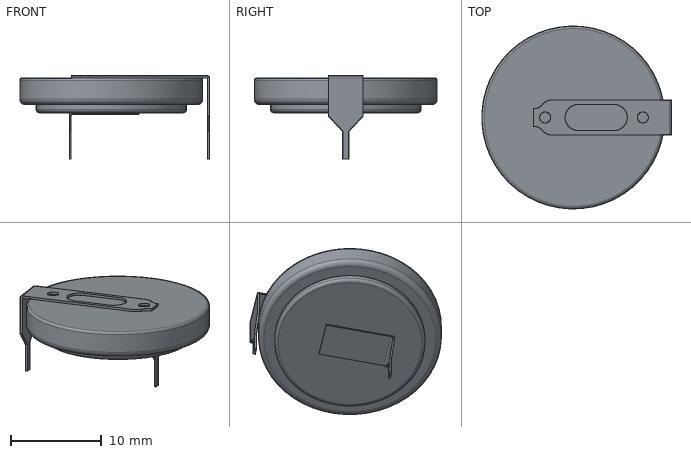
import cadquery as cq
import math

total_height = 9.17
can_diameter = 20.1
can_height = 2.92
can_top_fillet = 0.27
can_bottom_fillet = 0.6
cap_diameter = 16.5
cap_height = 0.9
cap_fillet = 0.35

tab_width = 3.83
pin_width = 0.7
taper_top = 4.75
taper_bottom = 3.08

upper_thickness = 0.25
upper_outer_x = 20.85 - can_diameter / 2
upper_end_x = -4.35
upper_end_width = 1.94
neck_length = 1.98
bend_radius = 0.25
weld_hole_diameter = 1.2
weld_hole_xs = (-3.08, 7.65)
window_length = 6.84
window_width = 2.85
window_x = 2.52

lower_thickness = 0.19
lower_outer_x = -4.6
lower_end_x = 3.06
lower_inner_fillet = 0.19

can_top = total_height - upper_thickness
can_bottom = can_top - can_height
cap_bottom = can_bottom - cap_height


def make_cell():
    can = cq.Workplane("XY").workplane(offset=can_bottom).circle(can_diameter / 2).extrude(can_height)
    can = can.faces(">Z").edges().fillet(can_top_fillet)
    can = can.faces("<Z").edges().fillet(can_bottom_fillet)
    cap = cq.Workplane("XY").workplane(offset=cap_bottom).circle(cap_diameter / 2).extrude(cap_height)
    cap = cap.faces("<Z").edges().fillet(cap_fillet)
    return can.union(cap)


def make_leg(outer_x, thickness, top):
    """Vertical leg tapering from the tab width to a pin; it extends along +X by the thickness."""
    half_tab = tab_width / 2
    half_pin = pin_width / 2
    outline = [
        (-half_tab, top),
        (-half_tab, taper_top),
        (-half_pin, taper_bottom),
        (-half_pin, 0),
        (half_pin, 0),
        (half_pin, taper_bottom),
        (half_tab, taper_top),
        (half_tab, top),
    ]
    return cq.Workplane("YZ").workplane(offset=outer_x).polyline(outline).close().extrude(thickness)


def make_upper_strap():
    """Flat strap whose free end narrows through two equal tangent arcs on each side."""
    half_tab = tab_width / 2
    half_end = upper_end_width / 2
    neck_x = upper_end_x + neck_length
    step = half_tab - half_end
    arc_angle = 2 * math.atan2(step, neck_length)
    arc_radius = neck_length / (2 * math.sin(arc_angle))
    middle = (upper_end_x + neck_length / 2, half_end + step / 2)
    along = arc_radius * math.sin(arc_angle / 2)
    rise = arc_radius * (1 - math.cos(arc_angle / 2))
    end_arc_point = (upper_end_x + along, half_end + rise)
    side_arc_point = (neck_x - along, half_tab - rise)

    def mirrored(point):
        return (point[0], -point[1])

    strap = (
        cq.Workplane("XY")
        .workplane(offset=can_top)
        .moveTo(upper_end_x, -half_end)
        .lineTo(upper_end_x, half_end)
        .threePointArc(end_arc_point, middle)
        .threePointArc(side_arc_point, (neck_x, half_tab))
        .lineTo(upper_outer_x, half_tab)
        .lineTo(upper_outer_x, -half_tab)
        .lineTo(neck_x, -half_tab)
        .threePointArc(mirrored(side_arc_point), mirrored(middle))
        .threePointArc(mirrored(end_arc_point), (upper_end_x, -half_end))
        .close()
        .extrude(upper_thickness)
    )
    weld_holes = (
        cq.Workplane("XY")
        .workplane(offset=can_top)
        .pushPoints([(x, 0) for x in weld_hole_xs])
        .circle(weld_hole_diameter / 2)
        .extrude(upper_thickness)
    )
    window = (
        cq.Workplane("XY")
        .workplane(offset=can_top)
        .center(window_x, 0)
        .slot2D(window_length, window_width)
        .extrude(upper_thickness)
    )
    return strap.cut(weld_holes).cut(window)


def make_upper_tab():
    leg = make_leg(upper_outer_x - upper_thickness, upper_thickness, total_height)
    tab = make_upper_strap().union(leg)
    return tab.edges("|Y").edges(">X and >Z").fillet(bend_radius)


def make_lower_tab():
    strap = (
        cq.Workplane("XY")
        .workplane(offset=cap_bottom - lower_thickness)
        .center((lower_outer_x + lower_end_x) / 2, 0)
        .rect(lower_end_x - lower_outer_x, tab_width)
        .extrude(lower_thickness)
    )
    tab = strap.union(make_leg(lower_outer_x, lower_thickness, cap_bottom))
    inner_corner = (lower_outer_x + lower_thickness, 0, cap_bottom - lower_thickness)
    return tab.edges(cq.selectors.NearestToPointSelector(inner_corner)).fillet(lower_inner_fillet)


result = make_cell().union(make_upper_tab()).union(make_lower_tab())